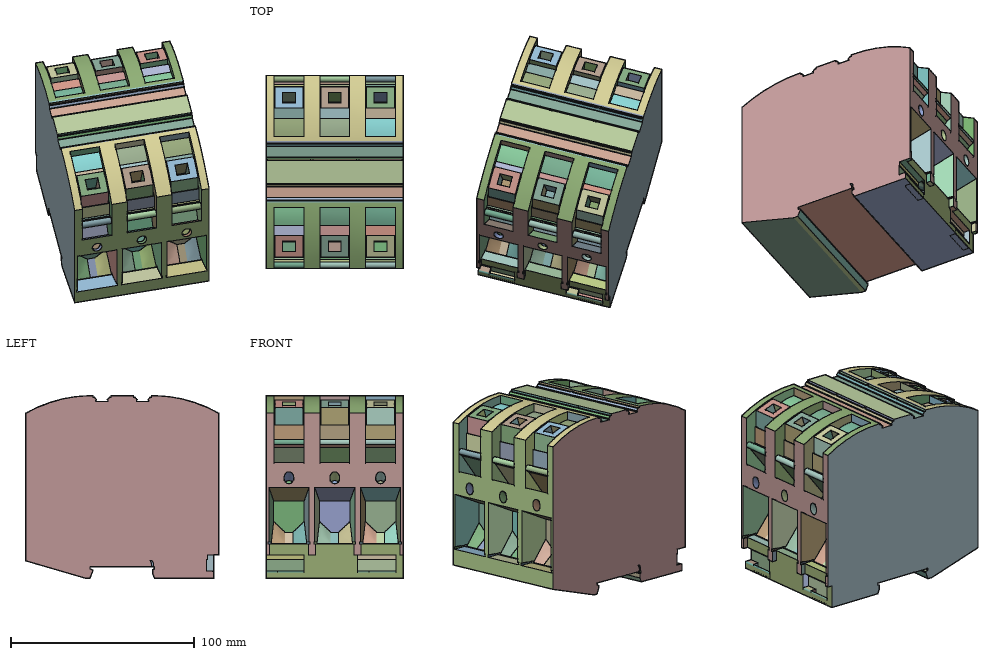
import cadquery as cq
import math

MODULES = 3
WIDTH = 75.0
PITCH = WIDTH / MODULES
HEIGHT = 99.7
HALF_LENGTH = 52.8
SHOULDER_Z = 90.1
CROWN_Y = 16.9
CLEAR = 2.1

RAIL_Z = 6.2
REAR_BOTTOM_Z = 9.5
FOOT_TOE_Y = 20.2
FRONT_JAW = [(-17.6, 0), (-16.6, 2.4), (-16.6, 4.9), (-17.4, 5.1), (-17.4, RAIL_Z)]
REAR_HOOK = [(17.5, RAIL_Z), (17.5, 5.2), (16.0, 4.5), (16.0, 3.9), (17.6, 0)]
LOWER_FRONT_Y = -50.0
LOWER_FRONT_Z = 12.8

GROOVE_Y = 11.1
GROOVE_FLOOR_Z = 96.6
GROOVE_LEDGE_Z = 98.9
GROOVE_HALF_WIDTH = 4.9
GROOVE_LIP = (2.8, 97.5)
GROOVE_FLOOR_HALF_WIDTH = 3.3
GROOVE_UNDERCUT_Z = 97.2
LEDGE_SLOT_WIDTH = 0.7
LEDGE_SLOT_DEPTH = 0.4

WINDOW_WIDTH = 16.4
WINDOW_INNER_U = 19.3
WINDOW_SILL_Z = 63.2
LEVER_WIDTH = 15.2
LEVER_INNER_U = 34.8
LEVER_OUTER_U = 46.3
LEVER_INNER_Z = 97.3
LEVER_OUTER_Z = 93.3
LEVER_BOTTOM_Z = 83.6
LEVER_SHANK_U = 46.6
SHANK_TOE_U = 47.7
SHANK_TOE_Z = 74.1
LEVER_FLOOR_Z = 92.9
FLOOR_CURVE_U = 29.1
FLOOR_CURVE_Z = 95.1
ROLLER_U = 50.9
ROLLER_Z = 74.0
ROLLER_RADIUS = 1.8
ROLLER_LEDGE_Z = 73.2
LIP_U = 50.1
LIP_Z = 71.5
CHANNEL_END_TOP = (-38.8, 57.5)
CHANNEL_END_BOTTOM = (-42.8, 51.7)
ROLLER_END_ANGLE = -36.0
SOCKET_WIDTH = 7.0
SOCKET_LENGTH = 6.0
SOCKET_DEPTH = 15.8

TEST_HOLE_DIAMETER = 5.3
TEST_HOLE_Z = 54.9
TEST_HOLE_TILT = 36.0
TEST_HOLE_DEPTH = 6.3

POCKET_FLOOR_Z = 18.7
POCKET_MOUTH_TOP_Z = 49.7
POCKET_BACK_TOP_Z = 42.2
POCKET_MOUTH_HALF = 11.0
POCKET_BACK_HALF = 8.3
POCKET_BACK_U = 36.4
RAMP_START_U = 44.7
RAMP_START_Z = 19.1
RAMP_HALF = 2.1
RAMP_BACK_Z = 25.1
RAMP_SIDE_Z = 31.0
NOTCH_HALF = 11.4
NOTCH_HEIGHT = 1.3
APRON_HALF = 10.5

LATCH_REACH = 8.3
LATCH_FLOOR_Z = 4.0
LATCH_STEP_Z = 10.2
LATCH_UPPER_Y = -46.4
LATCH_LOWER_Y = -46.0
LATCH_LIP_WIDTH = 0.6
LATCH_LIP_HEIGHT = 1.0
LATCH_SHELF_LENGTH = 6.2
LATCH_TROUGH_Z = 0.5

SLIT_DEPTH = 21.1
SLIT_OUTLINE = [(-16.1, RAIL_Z), (-16.0, 8.0), (-15.2, 9.7), (-16.2, 9.7), (-17.0, 8.4), (-17.0, RAIL_Z)]

MODULE_CENTERS = [(i - (MODULES - 1) / 2) * PITCH for i in range(MODULES)]


def slab(x_min, x_max):
    """Sketch plane at x_min with local axes Y and Z, and the extrusion length to x_max."""
    return cq.Workplane("YZ", origin=(x_min, 0, 0)), x_max - x_min


def centered_block(center_x, width, y_min, y_max, z_min, z_max):
    size = (width, y_max - y_min, z_max - z_min)
    middle = (center_x, (y_min + y_max) / 2, (z_min + z_max) / 2)
    return cq.Workplane("XY").box(*size).translate(middle)


def both_ends(front_shape):
    return front_shape.union(front_shape.mirror("XZ"))


def make_body():
    underside = [(LOWER_FRONT_Y, 0)] + FRONT_JAW + REAR_HOOK + [(FOOT_TOE_Y, 0)]
    run = HALF_LENGTH - CROWN_Y
    drop = HEIGHT - SHOULDER_Z
    radius = (run**2 + drop**2) / (2 * drop)
    half_angle = math.asin(run / radius) / 2
    mid_y = CROWN_Y + radius * math.sin(half_angle)
    mid_z = HEIGHT - radius * (1 - math.cos(half_angle))
    plane, length = slab(-WIDTH / 2, WIDTH / 2)
    return (
        plane.moveTo(HALF_LENGTH, REAR_BOTTOM_Z)
        .lineTo(HALF_LENGTH, SHOULDER_Z)
        .threePointArc((mid_y, mid_z), (CROWN_Y, HEIGHT))
        .lineTo(-CROWN_Y, HEIGHT)
        .threePointArc((-mid_y, mid_z), (-HALF_LENGTH, SHOULDER_Z))
        .lineTo(-HALF_LENGTH, LOWER_FRONT_Z)
        .lineTo(LOWER_FRONT_Y, LOWER_FRONT_Z)
        .polyline(underside, includeCurrent=True)
        .close()
        .extrude(length)
    )


def make_top_grooves():
    right_side = [
        (GROOVE_HALF_WIDTH, HEIGHT + CLEAR),
        (GROOVE_HALF_WIDTH, GROOVE_LEDGE_Z),
        (GROOVE_HALF_WIDTH - LEDGE_SLOT_WIDTH, GROOVE_LEDGE_Z),
        GROOVE_LIP,
        (GROOVE_FLOOR_HALF_WIDTH, GROOVE_UNDERCUT_Z),
        (GROOVE_FLOOR_HALF_WIDTH, GROOVE_FLOOR_Z),
    ]
    left_side = [(-v, z) for v, z in reversed(right_side)]
    plane, length = slab(-WIDTH / 2, WIDTH / 2)
    groove = plane.polyline(right_side + left_side).close().extrude(length)

    slot_length = PITCH - 2 * LEDGE_SLOT_WIDTH
    slot_inner = GROOVE_HALF_WIDTH - LEDGE_SLOT_WIDTH
    for center_x in MODULE_CENTERS:
        for start in (-GROOVE_HALF_WIDTH, slot_inner):
            slot = centered_block(center_x, slot_length, start, start + LEDGE_SLOT_WIDTH,
                                  GROOVE_LEDGE_Z - LEDGE_SLOT_DEPTH, HEIGHT)
            groove = groove.union(slot)
    return both_ends(groove.translate((0, -GROOVE_Y, 0)))


def make_window(center_x):
    """Opening around the lever, leaving the lever block and its roller standing."""
    curve_run = FLOOR_CURVE_U - WINDOW_INNER_U
    curve_drop = FLOOR_CURVE_Z - LEVER_FLOOR_Z
    curve_mid = (-(WINDOW_INNER_U + curve_run / 2), FLOOR_CURVE_Z - curve_drop / 4)
    roller_back_u = ROLLER_U - math.sqrt(ROLLER_RADIUS**2 - (ROLLER_Z - ROLLER_LEDGE_Z)**2)
    roller_end = math.radians(ROLLER_END_ANGLE)
    roller_front = (-(ROLLER_U + ROLLER_RADIUS * math.cos(roller_end)),
                    ROLLER_Z + ROLLER_RADIUS * math.sin(roller_end))
    outside = -(HALF_LENGTH + CLEAR)
    plane, length = slab(center_x - WINDOW_WIDTH / 2, center_x + WINDOW_WIDTH / 2)
    opening = (
        plane.moveTo(-WINDOW_INNER_U, HEIGHT + CLEAR)
        .lineTo(-WINDOW_INNER_U, FLOOR_CURVE_Z)
        .threePointArc(curve_mid, (-FLOOR_CURVE_U, LEVER_FLOOR_Z))
        .lineTo(-LEVER_INNER_U, LEVER_FLOOR_Z)
        .lineTo(-LEVER_INNER_U, LEVER_INNER_Z)
        .lineTo(-LEVER_OUTER_U, LEVER_OUTER_Z)
        .lineTo(-LEVER_OUTER_U, LEVER_BOTTOM_Z)
        .lineTo(-LEVER_SHANK_U, LEVER_BOTTOM_Z)
        .lineTo(-LEVER_SHANK_U, SHANK_TOE_Z)
        .lineTo(-SHANK_TOE_U, SHANK_TOE_Z)
        .lineTo(-SHANK_TOE_U, ROLLER_LEDGE_Z)
        .lineTo(-roller_back_u, ROLLER_LEDGE_Z)
        .threePointArc((-ROLLER_U, ROLLER_Z + ROLLER_RADIUS), roller_front)
        .lineTo(-LIP_U, LIP_Z)
        .lineTo(*CHANNEL_END_TOP)
        .lineTo(*CHANNEL_END_BOTTOM)
        .lineTo(-HALF_LENGTH, WINDOW_SILL_Z)
        .lineTo(outside, WINDOW_SILL_Z)
        .lineTo(outside, HEIGHT + CLEAR)
        .close()
        .extrude(length)
    )
    gap = (WINDOW_WIDTH - LEVER_WIDTH) / 2
    for side in (-1, 1):
        gap_x = center_x + side * (LEVER_WIDTH + gap) / 2
        opening = opening.union(centered_block(gap_x, gap, -LEVER_OUTER_U, -LEVER_INNER_U,
                                               LEVER_BOTTOM_Z, HEIGHT))
    return opening.union(make_lever_socket(center_x))


def make_lever_socket(center_x):
    """Rectangular socket square to the sloping top of the lever."""
    slope = math.atan2(LEVER_INNER_Z - LEVER_OUTER_Z, LEVER_OUTER_U - LEVER_INNER_U)
    middle = (center_x, -(LEVER_INNER_U + LEVER_OUTER_U) / 2, (LEVER_INNER_Z + LEVER_OUTER_Z) / 2)
    top = cq.Plane(origin=middle, xDir=(1, 0, 0), normal=(0, -math.sin(slope), math.cos(slope)))
    return cq.Workplane(top).rect(SOCKET_WIDTH, SOCKET_LENGTH).extrude(-SOCKET_DEPTH)


def make_test_hole(center_x):
    tilt = math.radians(TEST_HOLE_TILT)
    axis = (0, -math.cos(tilt), math.sin(tilt))
    mouth = cq.Plane(origin=(center_x, -HALF_LENGTH, TEST_HOLE_Z), xDir=(1, 0, 0), normal=axis)
    start = cq.Workplane(mouth).workplane(offset=2 * CLEAR)
    return start.circle(TEST_HOLE_DIAMETER / 2).extrude(-(TEST_HOLE_DEPTH + 2 * CLEAR))


def pocket_section(center_x, u, strip_z, side_z):
    """Pocket outline at distance u; the floor is at strip_z in the middle and side_z at the walls."""
    depth = (HALF_LENGTH - u) / (HALF_LENGTH - POCKET_BACK_U)
    half = POCKET_MOUTH_HALF + depth * (POCKET_BACK_HALF - POCKET_MOUTH_HALF)
    top_z = POCKET_MOUTH_TOP_Z + depth * (POCKET_BACK_TOP_Z - POCKET_MOUTH_TOP_Z)
    outline = [(-half, top_z), (-half, side_z), (-RAMP_HALF, strip_z),
               (RAMP_HALF, strip_z), (half, side_z), (half, top_z)]
    return cq.Wire.makePolygon([cq.Vector(center_x + x, -u, z) for x, z in outline], close=True)


def make_pocket(center_x):
    """Tapered conductor pocket with a funnel floor rising towards the back."""
    mouth = pocket_section(center_x, HALF_LENGTH, POCKET_FLOOR_Z, POCKET_FLOOR_Z)
    floor_end = pocket_section(center_x, RAMP_START_U, POCKET_FLOOR_Z, POCKET_FLOOR_Z)
    ramp_start = pocket_section(center_x, RAMP_START_U, RAMP_START_Z, RAMP_START_Z)
    back = pocket_section(center_x, POCKET_BACK_U, RAMP_BACK_Z, RAMP_SIDE_Z)
    cavity = cq.Workplane(cq.Solid.makeLoft([mouth, floor_end], True))
    funnel = cq.Workplane(cq.Solid.makeLoft([ramp_start, back], True))
    notch = centered_block(center_x, 2 * NOTCH_HALF, -HALF_LENGTH, -RAMP_START_U,
                           POCKET_FLOOR_Z, POCKET_FLOOR_Z + NOTCH_HEIGHT)
    return cavity.union(funnel).union(notch)


def make_apron(center_x):
    return centered_block(center_x, 2 * APRON_HALF, -HALF_LENGTH - CLEAR, LOWER_FRONT_Y,
                          LOWER_FRONT_Z, POCKET_FLOOR_Z)


def make_latch_recess(center_x):
    plane, length = slab(center_x - PITCH / 2, center_x + LATCH_REACH)
    lip_inner_y = LOWER_FRONT_Y + LATCH_LIP_WIDTH
    lip_mid = (LOWER_FRONT_Y + LATCH_LIP_WIDTH * (1 - math.sqrt(0.5)),
               LATCH_FLOOR_Z - LATCH_LIP_HEIGHT * (1 - math.sqrt(0.5)))
    recess = (
        plane.moveTo(LOWER_FRONT_Y, LOWER_FRONT_Z)
        .lineTo(LATCH_UPPER_Y, LOWER_FRONT_Z)
        .lineTo(LATCH_UPPER_Y, LATCH_STEP_Z)
        .lineTo(LATCH_LOWER_Y, LATCH_STEP_Z)
        .lineTo(LATCH_LOWER_Y, LATCH_FLOOR_Z)
        .lineTo(lip_inner_y, LATCH_FLOOR_Z)
        .threePointArc(lip_mid, (LOWER_FRONT_Y, LATCH_FLOOR_Z - LATCH_LIP_HEIGHT))
        .close()
        .extrude(length)
    )
    trough_length = length - LATCH_SHELF_LENGTH
    trough_x = center_x + LATCH_REACH - trough_length / 2
    trough = centered_block(trough_x, trough_length, lip_inner_y, LATCH_LOWER_Y,
                            LATCH_TROUGH_Z, LATCH_FLOOR_Z)
    return recess.union(trough)


def make_rail_slit():
    plane, length = slab(-WIDTH / 2, -WIDTH / 2 + SLIT_DEPTH)
    return plane.polyline(SLIT_OUTLINE).close().extrude(length)


result = make_body().cut(make_top_grooves()).cut(make_rail_slit())

for module_x in MODULE_CENTERS:
    for make_opening in (make_window, make_test_hole, make_pocket):
        result = result.cut(both_ends(make_opening(module_x)))
    result = result.cut(make_apron(module_x))

for module_x in (MODULE_CENTERS[0], MODULE_CENTERS[-1]):
    result = result.cut(make_latch_recess(module_x))